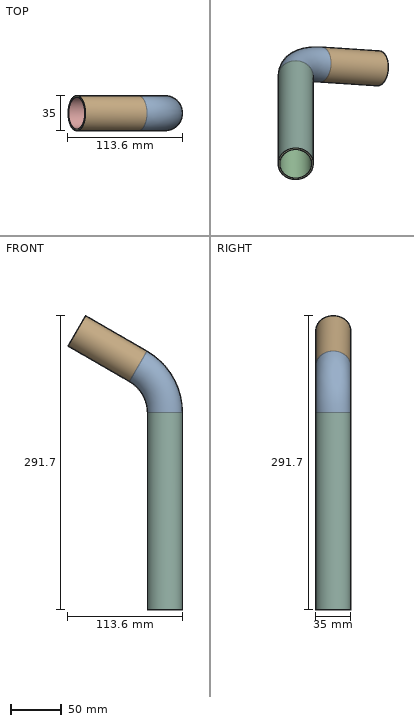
import cadquery as cq
import math

total_height = 291.7
outer_diameter = 35.0
wall = 1.7
bend_radius = 53.0
bend_angle = 60.0
upper_length = 70.3

outer_radius = outer_diameter / 2
inner_radius = outer_radius - wall
angle = math.radians(bend_angle)

bend_rise = (bend_radius + outer_radius) * math.sin(angle)
upper_rise = upper_length * math.cos(angle)
lower_length = total_height - bend_rise - upper_rise


def centre_line_point(turn):
    """Point on the bend's centre line after turning from +Z toward -X."""
    x = -bend_radius * (1 - math.cos(turn))
    z = lower_length + bend_radius * math.sin(turn)
    return x, z


bend_start = centre_line_point(0)
bend_middle = centre_line_point(angle / 2)
bend_end = centre_line_point(angle)
upper_end = (
    bend_end[0] - upper_length * math.sin(angle),
    bend_end[1] + upper_rise,
)

centre_line = (
    cq.Workplane("XZ")
    .lineTo(*bend_start)
    .threePointArc(bend_middle, bend_end)
    .lineTo(*upper_end)
)

result = (
    cq.Workplane("XY")
    .circle(outer_radius)
    .circle(inner_radius)
    .sweep(centre_line)
)